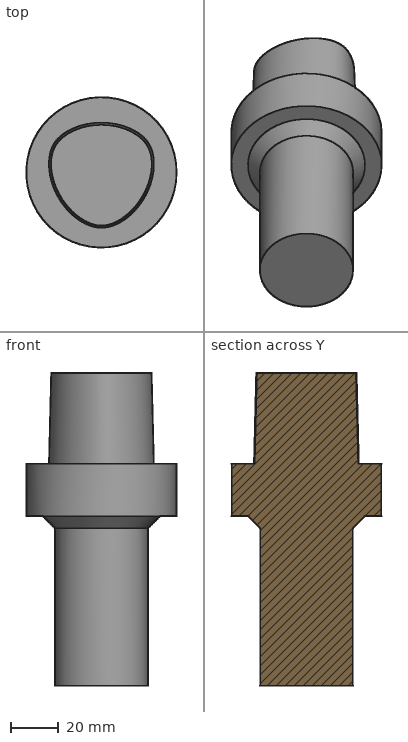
import cadquery as cq
import math

total_height = 131.0
shank_diameter = 39.0
collar_diameter = 49.0
flange_diameter = 63.0
flange_thickness = 22.0

head_height = 38.0
head_base_width = 44.0
taper_ratio = 1 / 20
lobe_offset = 1.2
outline_points = 72

flange_top = total_height - head_height
flange_bottom = flange_top - flange_thickness
collar_height = (collar_diameter - shank_diameter) / 2
shank_top = flange_bottom - collar_height
head_top_width = head_base_width - taper_ratio * head_height


def lobed_outline(width, height):
    """Closed constant-width curve at a height, starting at the lobe that points to -Y."""

    def outline_point(index):
        angle = 2 * math.pi * index / outline_points
        reach = width / 2 + lobe_offset * math.cos(3 * angle)
        slope = -3 * lobe_offset * math.sin(3 * angle)
        along = reach * math.cos(angle) - slope * math.sin(angle)
        across = reach * math.sin(angle) + slope * math.cos(angle)
        return cq.Vector(across, -along, height)

    points = [outline_point(index) for index in range(outline_points)]
    return cq.Wire.assembleEdges([cq.Edge.makeSpline(points, periodic=True)])


def turned_body():
    """Shank, cone and flange revolved about Z."""
    profile = [
        (0, 0),
        (shank_diameter / 2, 0),
        (shank_diameter / 2, shank_top),
        (collar_diameter / 2, flange_bottom),
        (flange_diameter / 2, flange_bottom),
        (flange_diameter / 2, flange_top),
        (0, flange_top),
    ]
    return cq.Workplane("XZ").polyline(profile).close().revolve(360, (0, 0), (0, 1))


def tapered_head():
    """Ruled loft from the wide outline on the flange to the narrower one on top."""
    base = lobed_outline(head_base_width, flange_top)
    top = lobed_outline(head_top_width, total_height)
    return cq.Workplane(cq.Solid.makeLoft([base, top], True))


result = turned_body().union(tapered_head())